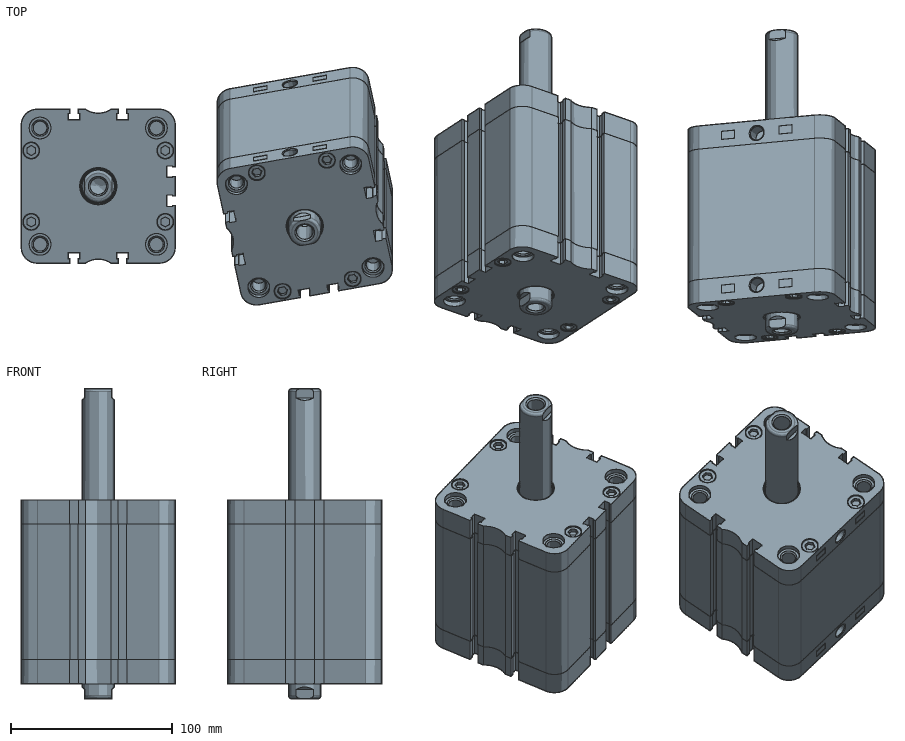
import cadquery as cq
import math

body_side = 95.5
corner_radius = 10.0
rod_length = 192.0
body_bottom = 9.2
body_height = 113.9
cover_height = 15.0
barrel_bottom = body_bottom + cover_height
barrel_height = body_height - 2 * cover_height
half_side = body_side / 2
middle_height = body_bottom + body_height / 2

wide_slot_offset = 15.0
wide_slot_depth = 6.3
wide_slot_lip = 2.9
wide_slot_opening = 5.2
wide_slot_inner = 7.0
cover_slot_clearance = 0.29
side_slot_offset = 9.0
side_slot_depth = 5.2
side_slot_lip = 1.7
side_slot_opening = 5.8
side_slot_inner = 7.0

channel_radius = 14.0
channel_depth = 2.5

rod_diameter = 20.0
rod_edge_radius = 2.0
flat_width = 16.9
flat_length = 5.8
rod_bore_diameter = 10.2
rod_bore_mouth = 12.0
rod_bore_depth = 19.2
drill_point_angle = 118.0

cover_bore_diameter = 20.5
rod_recess_diameter = 21.9
rod_recess_mouth = 23.0
rod_recess_depth = 2.0
mount_spacing = 72.0
mount_offset = mount_spacing / 2
counterbore_diameter = 13.5
counterbore_depth = 3.0
mount_mouth_diameter = 10.2
mount_hole_diameter = 8.5
mount_hole_depth = cover_height
screw_x = 41.5
screw_y = 22.0
screw_head_diameter = 9.8
screw_pocket_diameter = 10.4
screw_sink = 0.5
screw_edge_chamfer_depth = 0.4
hex_flats = 5.4
hex_depth = 2.9
port_drop = 8.0
port_mouth_diameter = 9.8
port_diameter = 8.6
port_depth = 11.5
label_offset = 18.8
label_width = 8.5
label_height = 5.2
label_drop = 7.5
label_depth = 0.2


def block(x_min, x_max, y_min, y_max, bottom, height):
    """Box given by its X and Y limits."""
    return (
        cq.Workplane("XY", origin=(0, 0, bottom))
        .moveTo((x_min + x_max) / 2, (y_min + y_max) / 2)
        .rect(x_max - x_min, y_max - y_min)
        .extrude(height)
    )


def t_slot(offset, opening, inner, lip, depth, bottom, height):
    """T-slot cut into the +X face, centred on Y = offset."""
    floor_x = half_side - depth
    mouth = block(floor_x, half_side, offset - opening / 2, offset + opening / 2, bottom, height)
    cavity = block(floor_x, half_side - lip, offset - inner / 2, offset + inner / 2, bottom, height)
    return mouth.union(cavity)


def profile(bottom, height, clearance):
    """Rounded square prism with the T-slots and channels; clearance widens the wide slots."""
    body = (
        cq.Workplane("XY", origin=(0, 0, bottom))
        .rect(body_side, body_side)
        .extrude(height)
        .edges("|Z")
        .fillet(corner_radius)
    )
    for side in (-1, 1):
        body = body.cut(
            t_slot(side * side_slot_offset, side_slot_opening, side_slot_inner,
                   side_slot_lip, side_slot_depth, bottom, height)
        )
        wide_slot = t_slot(
            side * wide_slot_offset,
            wide_slot_opening + 2 * clearance,
            wide_slot_inner + 2 * clearance,
            wide_slot_lip - clearance,
            wide_slot_depth + clearance,
            bottom,
            height,
        )
        for turn in (-90, 90):
            body = body.cut(wide_slot.rotate((0, 0, 0), (0, 0, 1), turn))
        channel_y = side * (half_side - channel_depth + channel_radius)
        channel = (
            cq.Workplane("XY", origin=(0, channel_y, bottom))
            .circle(channel_radius)
            .extrude(height)
        )
        body = body.cut(channel)
    return body


def chamfered_hole(mouth_diameter, diameter, depth):
    """Cutter for a blind hole going down from Z = 0, with a 45 degree mouth."""
    mouth_depth = (mouth_diameter - diameter) / 2
    return (
        cq.Workplane("XZ")
        .lineTo(mouth_diameter / 2, 0)
        .lineTo(diameter / 2, -mouth_depth)
        .lineTo(diameter / 2, -depth)
        .lineTo(0, -depth)
        .close()
        .revolve(360, (0, 0, 0), (0, 1, 0))
    )


def mount_hole():
    """Counterbored hole with a chamfered thread bore, going down from Z = 0."""
    counterbore = cq.Workplane("XY").circle(counterbore_diameter / 2).extrude(-counterbore_depth)
    bore = chamfered_hole(mount_mouth_diameter, mount_hole_diameter, mount_hole_depth - counterbore_depth)
    return counterbore.union(bore.translate((0, 0, -counterbore_depth)))


def screw_recess():
    """Pocket over a sunk, chamfered screw head and its hexagon socket, going down from Z = 0."""
    pocket_radius = screw_pocket_diameter / 2
    pocket = (
        cq.Workplane("XZ")
        .lineTo(pocket_radius, 0)
        .lineTo(pocket_radius, -screw_sink - screw_edge_chamfer_depth)
        .lineTo(screw_head_diameter / 2, -screw_sink)
        .lineTo(0, -screw_sink)
        .close()
        .revolve(360, (0, 0, 0), (0, 1, 0))
    )
    hex_corners = hex_flats / math.cos(math.pi / 6)
    socket = cq.Workplane("XY").polygon(6, hex_corners).extrude(-hex_depth)
    return pocket.union(socket.rotate((0, 0, 0), (0, 0, 1), 30))


def flip(shape):
    """Mirror image about the mid-height of the body."""
    return shape.mirror("XY", (0, 0, middle_height))


def make_barrel():
    """Middle body, a close fit round the rod."""
    barrel = profile(barrel_bottom, barrel_height, 0)
    return barrel.cut(cq.Workplane("XY").circle(rod_diameter / 2).extrude(rod_length))


def make_top_cover():
    """End cover with mounting holes, screw heads, an air port and two label recesses."""
    top = body_bottom + body_height
    cover = profile(top - cover_height, cover_height, cover_slot_clearance)
    cover = cover.cut(cq.Workplane("XY").circle(cover_bore_diameter / 2).extrude(rod_length))
    cover = cover.cut(
        chamfered_hole(rod_recess_mouth, rod_recess_diameter, rod_recess_depth).translate((0, 0, top))
    )
    for x_side in (-1, 1):
        for y_side in (-1, 1):
            mount_place = (x_side * mount_offset, y_side * mount_offset, top)
            cover = cover.cut(mount_hole().translate(mount_place))
            screw_place = (x_side * screw_x, y_side * screw_y, top)
            cover = cover.cut(screw_recess().translate(screw_place))
    port = chamfered_hole(port_mouth_diameter, port_diameter, port_depth)
    port = port.rotate((0, 0, 0), (0, 1, 0), -90)
    cover = cover.cut(port.translate((-half_side, 0, top - port_drop)))
    for y_side in (-1, 1):
        label = cq.Workplane("XY").box(2 * label_depth, label_width, label_height)
        cover = cover.cut(label.translate((-half_side, y_side * label_offset, top - label_drop)))
    return cover


def make_rod():
    """Through rod with two wrench flats and a drilled bore at each end."""
    rod_radius = rod_diameter / 2
    flat_depth = rod_radius - flat_width / 2
    rod = (
        cq.Workplane("XY")
        .circle(rod_radius)
        .extrude(rod_length)
        .faces("<Z or >Z")
        .edges()
        .fillet(rod_edge_radius)
    )
    flat = (
        cq.Workplane("XZ")
        .moveTo(flat_width / 2, rod_length)
        .lineTo(flat_width / 2, rod_length - flat_length)
        .lineTo(rod_radius, rod_length - flat_length - flat_depth)
        .lineTo(rod_radius, rod_length)
        .close()
        .extrude(rod_radius, both=True)
    )
    bore = chamfered_hole(rod_bore_mouth, rod_bore_diameter, rod_bore_depth)
    point_height = rod_bore_diameter / 2 / math.tan(math.radians(drill_point_angle / 2))
    point = cq.Workplane(
        cq.Solid.makeCone(rod_bore_diameter / 2, 0, point_height,
                          cq.Vector(0, 0, -rod_bore_depth), cq.Vector(0, 0, -1))
    )
    end_cut = bore.union(point).translate((0, 0, rod_length))
    end_cut = end_cut.union(flat).union(flat.mirror("YZ"))
    return rod.cut(end_cut).cut(end_cut.mirror("XY", (0, 0, rod_length / 2)))


barrel = make_barrel()
top_cover = make_top_cover()
bottom_cover = flip(top_cover)
rod = make_rod()

result = cq.Compound.makeCompound([barrel.val(), top_cover.val(), bottom_cover.val(), rod.val()])